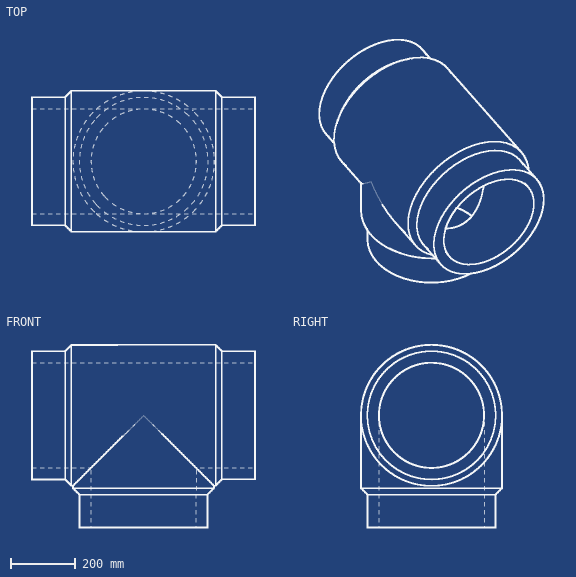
import cadquery as cq

run_length = 695.0
branch_reach = 350.0
spigot_diameter = 400.0
body_diameter = 440.0
bore_diameter = 327.4
spigot_length = 103.0
shoulder_length = 20.0

spigot_radius = spigot_diameter / 2
body_radius = body_diameter / 2
bore_radius = bore_diameter / 2
run_half_length = run_length / 2

run_directions = [cq.Vector(1, 0, 0), cq.Vector(-1, 0, 0)]
branch_direction = cq.Vector(0, 0, -1)


def cylinder(direction, radius, length):
    """Cylinder that starts at the origin and points along the direction."""
    return cq.Workplane(cq.Solid.makeCylinder(radius, length, cq.Vector(), direction))


def arm(direction, reach):
    """One arm of the tee: thick body, conical shoulder, then spigot."""
    shoulder_start = reach - spigot_length - shoulder_length
    shoulder = cq.Solid.makeCone(
        body_radius,
        spigot_radius,
        shoulder_length,
        direction * shoulder_start,
        direction,
    )
    body = cylinder(direction, body_radius, shoulder_start)
    spigot = cylinder(direction, spigot_radius, reach)
    return body.union(cq.Workplane(shoulder)).union(spigot)


def tee():
    """Straight run along X with a branch pointing down, bored through every end."""
    solid = arm(branch_direction, branch_reach)
    bore = cylinder(branch_direction, bore_radius, branch_reach)
    for direction in run_directions:
        solid = solid.union(arm(direction, run_half_length))
        bore = bore.union(cylinder(direction, bore_radius, run_half_length))
    return solid.cut(bore)


result = tee()